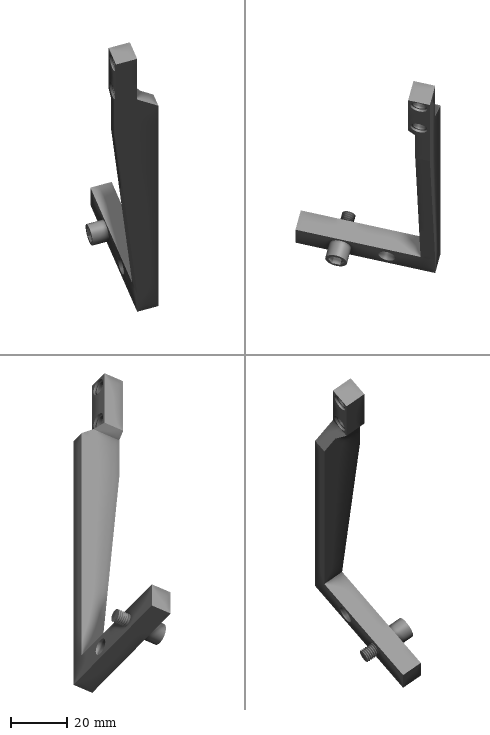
import cadquery as cq

bar_length = 51.2
bar_depth = 8.0
bar_height = 10.0
bar_hole_diameter = 6.2
bar_hole_x = 33.5
screw_x = 16.4
bar_axis_z = bar_height / 2

total_height = 145.0
arm_width = 5.4
tip_width = 8.0
tip_depth = 8.0
tip_length = 23.3
taper_top = total_height - 43.5
back_slope_height = 6.8
tip_bottom = total_height - tip_length
side_step = tip_width - arm_width

tip_hole_diameter = 5.0
tip_counterbore_diameter = 6.2
tip_counterbore_depth = 0.9
tip_hole_x = bar_length - tip_width / 2
tip_hole_drops = (3.6, 19.7)

head_diameter = 8.0
head_height = 6.1
socket_corner_diameter = 6.0
socket_depth = 3.0
thread_diameter = 5.0
root_diameter = 4.0
thread_pitch = 0.8
thread_end_y = 12.9
thread_turns = 6


def rod_along_y(diameter, x, z, start_y, end_y):
    """Round rod running from start_y to end_y."""
    direction = cq.Vector(0, 1, 0)
    rod = cq.Solid.makeCylinder(
        diameter / 2, end_y - start_y, cq.Vector(x, start_y, z), direction
    )
    return cq.Workplane(obj=rod)


def make_arm():
    """Tapered arm with an offset tip, before its holes are cut."""
    arm = (
        cq.Workplane("YZ", origin=(bar_length - tip_width, 0, 0))
        .moveTo(0, bar_height)
        .lineTo(-tip_depth, taper_top)
        .lineTo(-tip_depth, total_height)
        .lineTo(0, total_height)
        .lineTo(0, tip_bottom)
        .lineTo(bar_depth, tip_bottom - back_slope_height)
        .lineTo(bar_depth, bar_height)
        .close()
        .extrude(tip_width)
    )
    tip_left = bar_length - tip_width
    side_relief = (
        cq.Workplane("XZ", origin=(0, bar_depth, 0))
        .moveTo(tip_left, bar_height)
        .lineTo(tip_left + side_step, bar_height)
        .lineTo(tip_left + side_step, tip_bottom - side_step)
        .lineTo(tip_left, tip_bottom)
        .close()
        .extrude(bar_depth + tip_depth)
    )
    return arm.cut(side_relief)


def tip_hole_cutter(z):
    """Through hole with a counterbore at the front and back of the tip."""
    cutter = rod_along_y(tip_hole_diameter, tip_hole_x, z, -tip_depth, 0)
    for start_y in (-tip_depth, -tip_counterbore_depth):
        end_y = start_y + tip_counterbore_depth
        cutter = cutter.union(rod_along_y(tip_counterbore_diameter, tip_hole_x, z, start_y, end_y))
    return cutter


def make_bracket():
    """Foot bar and arm in one piece, with all their holes."""
    bar = cq.Workplane().box(bar_length, bar_depth, bar_height, centered=False)
    bracket = bar.union(make_arm())
    for hole_x, diameter in ((bar_hole_x, bar_hole_diameter), (screw_x, thread_diameter)):
        bracket = bracket.cut(rod_along_y(diameter, hole_x, bar_axis_z, 0, bar_depth))
    for drop in tip_hole_drops:
        bracket = bracket.cut(tip_hole_cutter(total_height - drop))
    return bracket


def make_screw():
    """Hex socket screw with its head against the bar and V-grooved rings as thread behind it."""
    thread_start_y = thread_end_y - thread_turns * thread_pitch
    profile = (
        cq.Workplane("XY", origin=(screw_x, 0, bar_axis_z))
        .moveTo(0, -head_height)
        .lineTo(head_diameter / 2, -head_height)
        .lineTo(head_diameter / 2, 0)
        .lineTo(thread_diameter / 2, 0)
        .lineTo(thread_diameter / 2, thread_start_y)
    )
    for turn in range(thread_turns):
        crest_y = thread_start_y + turn * thread_pitch
        profile = (
            profile
            .lineTo(root_diameter / 2, crest_y + thread_pitch / 2)
            .lineTo(thread_diameter / 2, crest_y + thread_pitch)
        )
    screw = profile.lineTo(0, thread_end_y).close().revolve(360, (0, 0, 0), (0, 1, 0))
    socket = (
        cq.Workplane("XZ", origin=(screw_x, -head_height, bar_axis_z))
        .polygon(6, socket_corner_diameter)
        .extrude(-socket_depth)
    )
    return screw.cut(socket)


bracket = make_bracket()
screw = make_screw()
result = cq.Compound.makeCompound([bracket.val(), screw.val()])